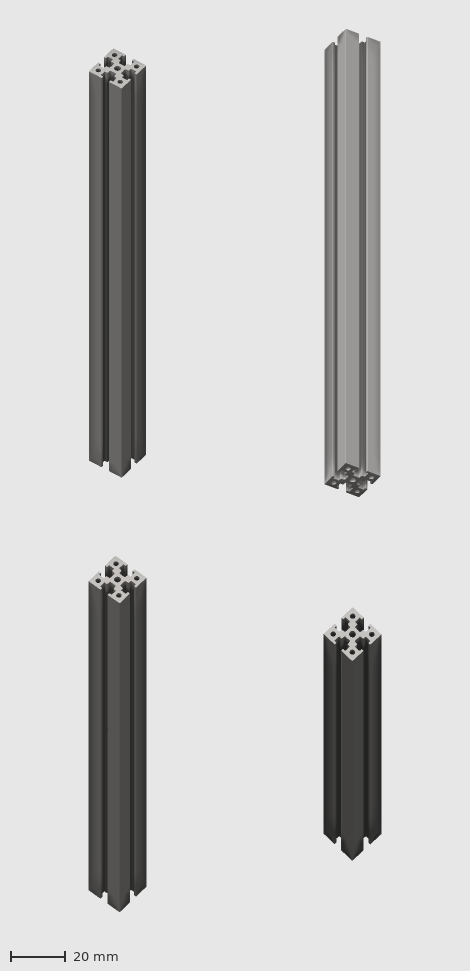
import cadquery as cq
import math

length = 200.0
width = 15.0
half_width = width / 2
outer_radius = 0.1

opening_half = 1.7
lip_thickness = 1.0
cavity_half = 2.8
cavity_depth = 2.5
cavity_radius = 0.2
ledge_distance = half_width - lip_thickness - cavity_depth

channel_half = 1.55
channel_depth = 1.5
channel_taper = 7.5
channel_mouth_radius = 0.1
floor_radius = 0.5
floor_distance = ledge_distance - channel_depth
floor_half = channel_half - channel_depth * math.tan(math.radians(channel_taper))

centre_bore_radius = 1.25
corner_bore_radius = 1.0
corner_bore_offset = 5.0

point_tolerance = 0.002


def round_upright_edges(body, points, radius):
    """Fillet the Z edges of body that pass through the points, mirrored across X and Y."""
    def is_chosen(edge):
        centre = edge.Center()
        return any(
            math.hypot(abs(centre.x) - x, abs(centre.y) - y) < point_tolerance for x, y in points
        )

    chosen = [edge for edge in body.edges("|Z").vals() if is_chosen(edge)]
    return body.newObject(chosen).fillet(radius)


def full_length(sketch):
    """Extrude a cross-section over the whole bar."""
    return sketch.extrude(length / 2, both=True)


def slot_cutter():
    """Full-length cutter for the slot that opens towards +Y."""
    lip_inside = half_width - lip_thickness
    lip_tip = (opening_half, lip_inside)
    cavity_corners = [(cavity_half, lip_inside), (cavity_half, ledge_distance)]
    channel_mouth = (channel_half, ledge_distance)
    floor_corner = (floor_half, floor_distance)

    right_side = [(opening_half, half_width), lip_tip, *cavity_corners, channel_mouth, floor_corner]
    left_side = [(-x, y) for x, y in reversed(right_side)]
    cutter = full_length(cq.Workplane("XY").polyline(right_side + left_side).close())

    cutter = round_upright_edges(cutter, [lip_tip], outer_radius)
    cutter = round_upright_edges(cutter, cavity_corners, cavity_radius)
    cutter = round_upright_edges(cutter, [channel_mouth], channel_mouth_radius)
    return round_upright_edges(cutter, [floor_corner], floor_radius)


bar = cq.Workplane("XY").box(width, width, length)
slot = slot_cutter()
for turn in range(4):
    bar = bar.cut(slot.rotate((0, 0, 0), (0, 0, 1), 90 * turn))

outer_points = [
    (half_width, half_width),
    (opening_half, half_width),
    (half_width, opening_half),
]
bar = round_upright_edges(bar, outer_points, outer_radius)

centre_bore = full_length(cq.Workplane("XY").circle(centre_bore_radius))
corner_spacing = 2 * corner_bore_offset
corner_bores = full_length(
    cq.Workplane("XY").rarray(corner_spacing, corner_spacing, 2, 2).circle(corner_bore_radius)
)

result = bar.cut(centre_bore).cut(corner_bores)